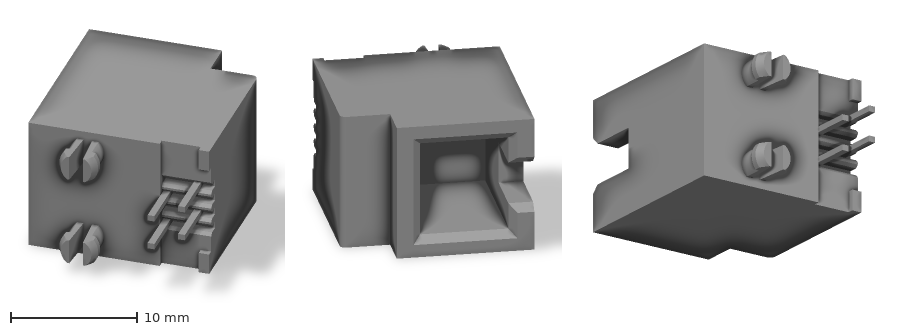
import cadquery as cq


body_height = 15.09
body_depth = 15.7
body_width = 11.17
mouth_height = 11.1
mouth_length = 3.02
corner_radius = 0.5

recess_start = 10.96
recess_depth = 0.51
lug_height = 0.87
lug_width = 1.77

cavity_start = 2.0
cavity_end = 9.12
cavity_width = 7.79
cavity_depth = 11.02
notch_width = 3.45
notch_depth = 5.04
lead_in = 0.63

pin_count = 4
pin_pitch = 1.27
pin_tip = 3.3
pin_height = 0.57
pin_width = 0.5
near_pin_x = 11.3
pin_row_gap = 2.55
groove_width = 0.59
groove_chamfer = 0.25
groove_depth = 1.0

peg_x = 4.95
peg_z = 3.82
peg_length = 3.02
peg_width = 2.07
peg_root = 0.19
shaft_radius = 1.37
head_radius = 1.62
tip_radius = 1.27
shaft_length = 1.67
head_start = 1.79
head_end = 2.32
split_at_base = 0.7
split_at_tip = 1.14


def box(x_range, y_range, z_range):
    """Box spanning the given (low, high) range along each axis."""
    low, high = zip(x_range, y_range, z_range)
    size = [b - a for a, b in zip(low, high)]
    return cq.Workplane("XY").box(*size, centered=False).translate(low)


def extrude_across(profile, width):
    """Extrude an XY profile by the given width, centred on Z = 0."""
    return profile.extrude(width / 2, both=True)


def make_housing():
    """Stepped block with a narrower plug mouth at the back and a rounded rear corner."""
    shoulder = body_depth - mouth_length
    profile = (
        cq.Workplane("XY")
        .lineTo(body_height, 0)
        .lineTo(body_height, shoulder - corner_radius)
        .radiusArc((body_height - corner_radius, shoulder), -corner_radius)
        .lineTo(mouth_height, shoulder)
        .lineTo(mouth_height, body_depth)
        .lineTo(0, body_depth)
        .close()
    )
    return extrude_across(profile, body_width)


def make_recess():
    """Shallow cut across the front face that leaves a lug at each outer corner."""
    half_width = body_width / 2
    lug_start = body_height - lug_height
    lug_inner = half_width - lug_width
    full_strip = box((recess_start, lug_start), (0, recess_depth), (-half_width, half_width))
    between_lugs = box((lug_start, body_height), (0, recess_depth), (-lug_inner, lug_inner))
    return full_strip.union(between_lugs)


def flared_opening(x_range, width, depth, flare_x):
    """Opening in the back face that widens at its mouth by the lead-in chamfer.

    flare_x holds how far the mouth widens at the low and high X ends.
    """
    low, high = x_range
    straight = box(x_range, (body_depth - depth, body_depth), (-width / 2, width / 2))
    mouth_low = low - flare_x[0]
    mouth_high = high + flare_x[1]
    funnel = (
        cq.Workplane("XZ", origin=(0, body_depth, 0))
        .center((mouth_low + mouth_high) / 2, 0)
        .rect(mouth_high - mouth_low, width + 2 * lead_in)
        .workplane(offset=lead_in)
        .center((low + high - mouth_low - mouth_high) / 2, 0)
        .rect(high - low, width)
        .loft()
    )
    return straight.union(funnel)


def make_plug_opening():
    """Plug cavity plus the latch notch that opens it through the X = 0 wall."""
    cavity = flared_opening((cavity_start, cavity_end), cavity_width, cavity_depth, (lead_in, lead_in))
    notch = flared_opening((0, cavity_start), notch_width, notch_depth, (0, 0))
    return cavity.union(notch)


def make_groove(z):
    """Slot with a chamfered mouth along the recessed face, centred on the given Z."""
    floor = recess_depth + groove_depth
    half_width = groove_width / 2
    half_mouth = half_width + groove_chamfer
    chamfer_end = recess_depth + groove_chamfer
    return (
        cq.Workplane("YZ", origin=(recess_start, 0, z))
        .polyline(
            [
                (recess_depth, -half_mouth),
                (chamfer_end, -half_width),
                (floor, -half_width),
                (floor, half_width),
                (chamfer_end, half_width),
                (recess_depth, half_mouth),
            ]
        )
        .close()
        .extrude(body_height - recess_start)
    )


def make_pin(x, z):
    """Straight rectangular pin from the groove floor out past the front face."""
    pin_back = recess_depth + 2 * groove_depth
    return box(
        (x - pin_height / 2, x + pin_height / 2),
        (-pin_tip, pin_back),
        (z - pin_width / 2, z + pin_width / 2),
    )


def make_peg(z):
    """Round snap peg with a wider head, flattened on both sides and split by a tapered gap.

    Its root sinks into the housing so that the two join.
    """
    turned = (
        cq.Workplane("XY")
        .polyline(
            [
                (0, peg_root),
                (shaft_radius, peg_root),
                (shaft_radius, -shaft_length),
                (head_radius, -head_start),
                (head_radius, -head_end),
                (tip_radius, -peg_length),
                (0, -peg_length),
            ]
        )
        .close()
        .revolve(360, (0, 0), (0, 1))
    )
    slab = box((-head_radius, head_radius), (-peg_length, peg_root), (-peg_width / 2, peg_width / 2))
    split = extrude_across(
        cq.Workplane("XY")
        .polyline(
            [
                (-split_at_base / 2, 0),
                (split_at_base / 2, 0),
                (split_at_tip / 2, -peg_length),
                (-split_at_tip / 2, -peg_length),
            ]
        )
        .close(),
        peg_width,
    )
    return turned.intersect(slab).cut(split).translate((peg_x, 0, z))


result = make_housing().cut(make_recess()).cut(make_plug_opening())

pin_places = []
for index in range(pin_count):
    pin_x = near_pin_x + pin_row_gap * (index % 2)
    pin_z = pin_pitch * (index - (pin_count - 1) / 2)
    pin_places.append((pin_x, pin_z))

for _, pin_z in pin_places:
    result = result.cut(make_groove(pin_z))
for pin_x, pin_z in pin_places:
    result = result.union(make_pin(pin_x, pin_z))
for side in (-1, 1):
    result = result.union(make_peg(side * peg_z))